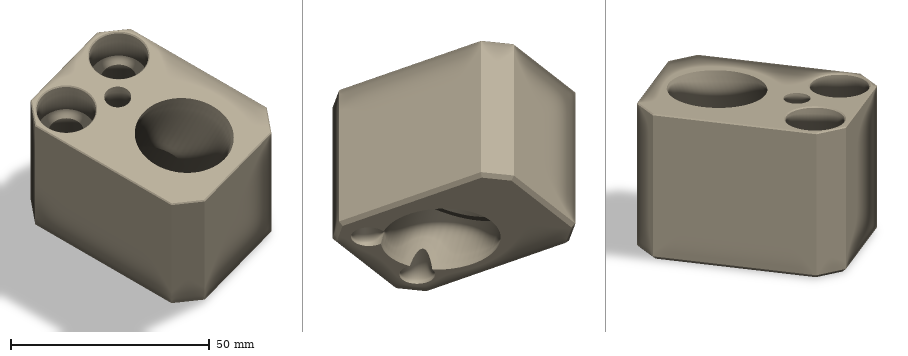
import cadquery as cq
import math

length = 55.0
width = 40.0
height = 40.0
corner_chamfer = 6.0
bottom_chamfer = 1.0
top_chamfer = 0.3

screw_x = -18.5
screw_pitch = 22.0
screw_hole_diameter = 9.0
screw_head_diameter = 15.0
screw_head_depth = 9.0
screw_head_chamfer = top_chamfer

blind_x = -10.5
blind_diameter = 6.8
blind_depth = 10.0
drill_point_angle = 118.0

bore_x = 10.5
bore_diameter = 24.0
bore_tilt = 20.0
head_seat_diameter = 29.0
head_seat_depth = 12.0
overshoot = 22.0


def make_block():
    """Rectangular block with cut vertical corners and chamfered end faces."""
    block = cq.Workplane("XY").box(length, width, height, centered=(True, True, False))
    block = block.edges("|Z").chamfer(corner_chamfer)
    block = block.faces("<Z").chamfer(bottom_chamfer)
    return block.faces(">Z").chamfer(top_chamfer)


def revolve_profile(points):
    """Solid of revolution about Z from (radius, height) points."""
    profile = cq.Workplane("XZ").polyline(points).close()
    return profile.revolve(360, (0, 0, 0), (0, 1, 0))


def make_screw_cutter():
    """Through hole with a counterbore chamfered at its mouth."""
    hole_radius = screw_hole_diameter / 2
    head_radius = screw_head_diameter / 2
    mouth_radius = head_radius + screw_head_chamfer
    head_floor = height - screw_head_depth
    return revolve_profile([
        (0, 0),
        (hole_radius, 0),
        (hole_radius, head_floor),
        (head_radius, head_floor),
        (head_radius, height - screw_head_chamfer),
        (mouth_radius, height),
        (0, height),
    ])


def make_blind_cutter():
    """Blind hole ending in a conical drill point."""
    radius = blind_diameter / 2
    cone_height = radius / math.tan(math.radians(drill_point_angle / 2))
    floor = height - blind_depth
    return revolve_profile([(0, floor - cone_height), (radius, floor), (radius, height), (0, height)])


def make_bore_cutter():
    """Tilted bore; its axis crosses the top face at bore_x and leans to -X going down."""
    axis_length = height / math.cos(math.radians(bore_tilt))
    shoulder = head_seat_depth - axis_length
    bore_radius = bore_diameter / 2
    seat_radius = head_seat_diameter / 2
    cutter = revolve_profile([
        (0, -axis_length - overshoot),
        (seat_radius, -axis_length - overshoot),
        (seat_radius, shoulder),
        (bore_radius, shoulder),
        (bore_radius, overshoot),
        (0, overshoot),
    ])
    return cutter.rotate((0, 0, 0), (0, 1, 0), bore_tilt).translate((bore_x, 0, height))


result = make_block()
for side in (-1, 1):
    result = result.cut(make_screw_cutter().translate((screw_x, side * screw_pitch / 2, 0)))
result = result.cut(make_blind_cutter().translate((blind_x, 0, 0)))
result = result.cut(make_bore_cutter())